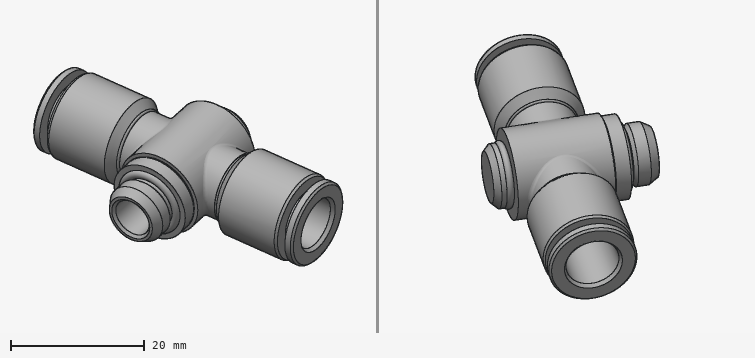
import cadquery as cq
import math


barrel_radius = 14.0 / 2
barrel_half_length = 7.5

half_span = 23.7
branch_neck_radius = 5.5
shell_radius = barrel_radius
shell_inner_end = 10.45
shell_outer_end = 21.0
shell_chamfer_length = 0.45
shell_chamfer_depth = 0.25
neck_fillet_radius = 0.6
barrel_fillet_radius = 0.5

ring_width = 1.35
ring_radius = 6.8
ring_chamfer = 0.35
ring_neck_radius = 4.7

socket_radius = 4.1
socket_mouth_radius = 4.45
socket_mouth_depth = 0.6
socket_end = 10.45
socket_step_length = 0.47
tube_bore_radius = 6.5 / 2

rear_end = 10.5
rear_radius = 9.9 / 2
rear_chamfer = 1.0
rear_groove_end = 8.7
rear_groove_radius = 4.12
rear_seal_section_radius = 0.55
rear_seal_outer_radius = 5.2

collar_relief_radius = 6.35
collar_start = 7.73
collar_end = 10.05
collar_radius = 6.5
front_neck_radius = 4.2
front_neck_end = 11.0
thread_start = 11.55
thread_radius = 9.6 / 2
thread_chamfer_start = 13.5
front_tip_radius = 3.95
front_end = 15.0
front_seal_section_radius = 0.65

stem_bore_radius = 3.05
stem_bore_chamfer = 0.45
stem_bore_end = 2.2
drill_point_end = 3.55


def revolve_about_x(points):
    """Revolve a closed (x, radius) outline about the X axis."""
    return cq.Workplane("XY").polyline(points).close().revolve(360, (0, 0, 0), (1, 0, 0))


def revolve_about_y(points):
    """Revolve a closed (radius, y) outline about the Y axis."""
    return cq.Workplane("XY").polyline(points).close().revolve(360, (0, 0, 0), (0, 1, 0))


def seal(ring_center_radius, section_radius, y):
    """O-ring around the Y axis."""
    section = cq.Workplane("XY").moveTo(-ring_center_radius, y).circle(section_radius)
    return section.revolve(360, (0, 0, 0), (0, 1, 0))


def with_mirror(shape):
    """The shape together with its copy on the -X side."""
    return shape.union(shape.mirror("YZ"))


def barrel_with_necks():
    barrel = cq.Workplane("XZ").circle(barrel_radius).extrude(barrel_half_length, both=True)
    necks = cq.Workplane("YZ").circle(branch_neck_radius).extrude(shell_inner_end, both=True)
    return barrel.union(necks).edges("not(%LINE or %CIRCLE)").fillet(barrel_fillet_radius)


def branch_shell():
    corner_x = shell_inner_end - (shell_radius - branch_neck_radius)
    tangent_length = neck_fillet_radius * math.tan(math.radians(22.5))
    tangent_step = tangent_length * math.sqrt(0.5)
    return (
        cq.Workplane("XY")
        .moveTo(corner_x - tangent_length, 0)
        .lineTo(corner_x - tangent_length, branch_neck_radius)
        .tangentArcPoint((corner_x + tangent_step, branch_neck_radius + tangent_step), relative=False)
        .lineTo(shell_inner_end, shell_radius)
        .lineTo(shell_outer_end - shell_chamfer_length, shell_radius)
        .lineTo(shell_outer_end, shell_radius - shell_chamfer_depth)
        .lineTo(shell_outer_end, 0)
        .close()
        .revolve(360, (0, 0, 0), (1, 0, 0))
    )


def release_ring():
    ring_start = half_span - ring_width
    return revolve_about_x([
        (shell_outer_end, 0),
        (shell_outer_end, ring_neck_radius),
        (ring_start, ring_neck_radius),
        (ring_start, ring_radius),
        (half_span - ring_chamfer, ring_radius),
        (half_span, ring_radius - ring_chamfer),
        (half_span, 0),
    ])


def tube_socket():
    """Half of the through passage, from the barrel centre to the branch mouth."""
    return revolve_about_x([
        (0, 0),
        (0, tube_bore_radius),
        (socket_end - socket_step_length, tube_bore_radius),
        (socket_end, socket_radius),
        (half_span - socket_mouth_depth, socket_radius),
        (half_span, socket_mouth_radius),
        (half_span, 0),
    ])


def stem():
    body = revolve_about_y([
        (0, rear_end),
        (rear_radius - rear_chamfer, rear_end),
        (rear_radius, rear_end - rear_chamfer),
        (rear_radius, rear_groove_end),
        (rear_groove_radius, rear_groove_end),
        (rear_groove_radius, barrel_half_length),
        (collar_relief_radius, barrel_half_length),
        (collar_relief_radius, -collar_start),
        (collar_radius, -collar_start),
        (collar_radius, -collar_end),
        (front_neck_radius, -collar_end),
        (front_neck_radius, -front_neck_end),
        (thread_radius, -thread_start),
        (thread_radius, -thread_chamfer_start),
        (front_tip_radius, -front_end),
        (0, -front_end),
    ])
    rear_seal = seal(
        rear_seal_outer_radius - rear_seal_section_radius,
        rear_seal_section_radius,
        (barrel_half_length + rear_groove_end) / 2,
    )
    front_seal = seal(
        front_neck_radius + front_seal_section_radius,
        front_seal_section_radius,
        -collar_end,
    )
    return body.union(rear_seal).union(front_seal)


def stem_bore():
    return revolve_about_y([
        (0, drill_point_end),
        (stem_bore_radius, stem_bore_end),
        (stem_bore_radius, stem_bore_chamfer - front_end),
        (stem_bore_radius + stem_bore_chamfer, -front_end),
        (0, -front_end),
    ])


result = (
    barrel_with_necks()
    .union(with_mirror(branch_shell().union(release_ring())))
    .union(stem())
    .cut(with_mirror(tube_socket()))
    .cut(stem_bore())
)